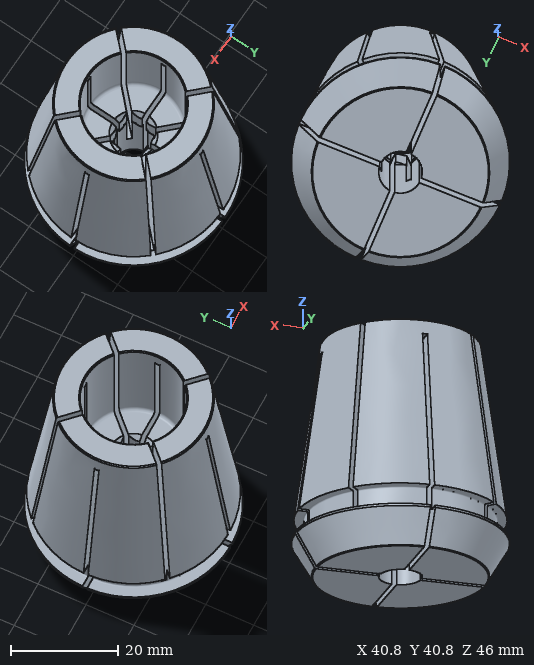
import cadquery as cq
import math

HEIGHT = 46.0
TOP_EDGE_BREAK = 0.25

FLANGE_DIAMETER = 40.8
FLANGE_RADIUS = FLANGE_DIAMETER / 2
FLANGE_TOP_Z = 7.0
FLANGE_RIM_Z = 6.55
NOSE_RADIUS = 16.55
NOSE_EDGE_BREAK = 0.15

NECK_RADIUS = 18.05
NECK_FILLET = 0.28

TAPER_BASE_Z = 11.22
TAPER_BASE_RADIUS = 19.95
TAPER_TOP_RADIUS = 15.05

BORE_RADIUS = 10.0
BORE_FLOOR_Z = 24.85
BORE_FLOOR_FILLET = 0.85

SHANK_RADIUS = 4.05
SHANK_TOP_Z = 18.4
SQUARE_SIDE = 6.8
SQUARE_RELIEF_RADIUS = 3.6
LEAD_IN_RADIUS = 4.55

SLIT_WIDTH = 0.95
SLIT_COUNT = 4
NOSE_SLIT_TOP_Z = 43.0
TOP_SLIT_FLOOR_Z = 7.55


def cylinder(radius, bottom_z, top_z):
    return cq.Workplane("XY").workplane(offset=bottom_z).circle(radius).extrude(top_z - bottom_z)


def outer_body():
    """Turned outside: conical nose, flange rim, filleted neck and long taper."""
    nose_slope = (FLANGE_RADIUS - NOSE_RADIUS) / FLANGE_RIM_Z
    taper_slope = (TAPER_BASE_RADIUS - TAPER_TOP_RADIUS) / (HEIGHT - TAPER_BASE_Z)
    arc_inset = NECK_FILLET * (1 - math.sqrt(0.5))
    fillet_radius = NECK_RADIUS + NECK_FILLET
    return (
        cq.Workplane("XZ")
        .lineTo(NOSE_RADIUS - NOSE_EDGE_BREAK, 0)
        .lineTo(NOSE_RADIUS + nose_slope * NOSE_EDGE_BREAK, NOSE_EDGE_BREAK)
        .lineTo(FLANGE_RADIUS, FLANGE_RIM_Z)
        .lineTo(FLANGE_RADIUS, FLANGE_TOP_Z)
        .lineTo(fillet_radius, FLANGE_TOP_Z)
        .threePointArc(
            (NECK_RADIUS + arc_inset, FLANGE_TOP_Z + arc_inset),
            (NECK_RADIUS, FLANGE_TOP_Z + NECK_FILLET),
        )
        .lineTo(NECK_RADIUS, TAPER_BASE_Z - NECK_FILLET)
        .threePointArc(
            (NECK_RADIUS + arc_inset, TAPER_BASE_Z - arc_inset),
            (fillet_radius, TAPER_BASE_Z),
        )
        .lineTo(TAPER_BASE_RADIUS, TAPER_BASE_Z)
        .lineTo(TAPER_TOP_RADIUS + taper_slope * TOP_EDGE_BREAK, HEIGHT - TOP_EDGE_BREAK)
        .lineTo(TAPER_TOP_RADIUS - TOP_EDGE_BREAK, HEIGHT)
        .lineTo(0, HEIGHT)
        .close()
        .revolve(360, (0, 0, 0), (0, 1, 0))
    )


def clearance_bore():
    """Bore with a rounded floor corner and a broken top edge."""
    bore = cylinder(BORE_RADIUS, BORE_FLOOR_Z, HEIGHT).faces("<Z").edges().fillet(BORE_FLOOR_FILLET)
    mouth = cq.Solid.makeCone(
        BORE_RADIUS,
        BORE_RADIUS + TOP_EDGE_BREAK,
        TOP_EDGE_BREAK,
        pnt=cq.Vector(0, 0, HEIGHT - TOP_EDGE_BREAK),
    )
    return bore.union(cq.Workplane(mouth))


def tool_socket():
    """Shank hole, square drive with a round relief, and a 45 degree lead-in at the bore floor."""
    shank = cylinder(SHANK_RADIUS, 0, SHANK_TOP_Z)
    relief = cylinder(SQUARE_RELIEF_RADIUS, SHANK_TOP_Z, BORE_FLOOR_Z)
    square = (
        cq.Workplane("XY")
        .workplane(offset=SHANK_TOP_Z)
        .rect(SQUARE_SIDE, SQUARE_SIDE)
        .extrude(BORE_FLOOR_Z - SHANK_TOP_Z)
    )
    lead_in_depth = LEAD_IN_RADIUS - SQUARE_SIDE / 2
    lead_in = cq.Solid.makeCone(
        SQUARE_SIDE / 2,
        LEAD_IN_RADIUS,
        lead_in_depth,
        pnt=cq.Vector(0, 0, BORE_FLOOR_Z - lead_in_depth),
    )
    return shank.union(relief).union(square).union(cq.Workplane(lead_in))


def slits(bottom_z, top_z, first_angle):
    """Equally spaced radial slits reaching from the axis past the flange."""
    blade = (
        cq.Workplane("XY")
        .workplane(offset=bottom_z)
        .center(FLANGE_RADIUS / 2, 0)
        .rect(FLANGE_RADIUS + SLIT_WIDTH, SLIT_WIDTH)
        .extrude(top_z - bottom_z)
    )
    cutter = cq.Workplane("XY")
    for index in range(SLIT_COUNT):
        angle = first_angle + index * 360 / SLIT_COUNT
        cutter = cutter.union(blade.rotate((0, 0, 0), (0, 0, 1), angle))
    return cutter


result = outer_body().cut(clearance_bore()).cut(tool_socket())

result = result.cut(slits(0, NOSE_SLIT_TOP_Z, 0))
result = result.cut(slits(TOP_SLIT_FLOOR_Z, HEIGHT, 180 / SLIT_COUNT))